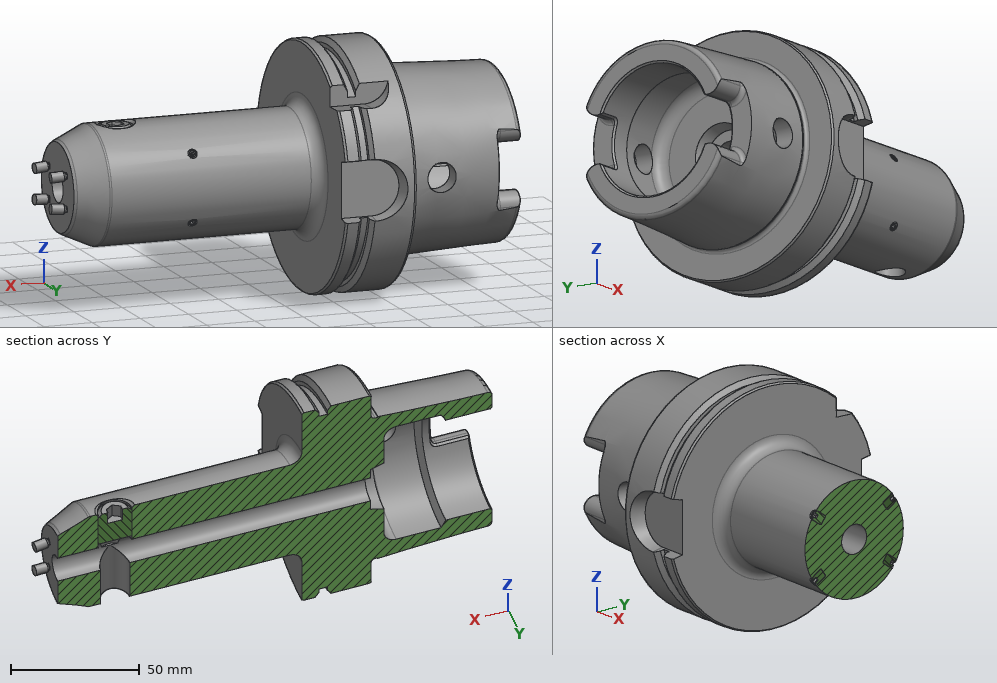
import cadquery as cq
import math


EDGE_TOLERANCE = 0.002

TAPER_LENGTH = 50.0
TAPER_TIP_RADIUS = 35.6
TAPER_TIP_ROUNDING = 1.9
TAPER_BASE_RADIUS = 37.9
RELIEF_LENGTH = 2.6
RELIEF_RADIUS = 37.5
RELIEF_FILLET = 1.5
BORE_RADIUS = 26.5
BORE_EDGE_CHAMFER = 0.7
BORE_DEPTH = 44.8
UNDERCUT_START_DEPTH = 19.2
UNDERCUT_RADIUS = 29.9
UNDERCUT_ANGLE = 60.0
UNDERCUT_FLOOR_FILLET = 5.0
SEAT_MOUTH_RADIUS = 12.1
SEAT_FLOOR_RADIUS = 10.5
SEAT_DEPTH = 5.6
AXIAL_HOLE_RADIUS = 6.0
CROSS_HOLE_RADIUS = 6.0
CROSS_HOLE_X = -15.3

SLOT_HALF_WIDTH = 9.9
SLOT_LIP_RADIUS = 5.5
SLOT_LIP_Y = 32.1
SLOT_END_FILLET = 1.9
FRONT_SLOT_DEPTH = 15.5
REAR_SLOT_DEPTH = 10.5

FLANGE_RADIUS = 50.0
FLANGE_WIDTH = 29.0
FLANGE_EDGE_LENGTH = 1.0
FLANGE_EDGE_DROP = 0.5
GROOVE_BOTTOM_RADIUS = 46.0
GROOVE_WALL_RADIUS = 47.8
GROOVE_START = 16.8
GROOVE_BOTTOM_START = 18.3
GROOVE_BOTTOM_END = 21.6
GROOVE_END = 23.3

POCKET_FLOOR_Y = 43.7
POCKET_RADIUS = 11.2
POCKET_CENTER_X = 16.2
POCKET_WALL_TAPER = 12.0

NOTCH_FLOOR_Y = 31.3
NOTCH_RADIUS = 9.9
NOTCH_CENTER_X = 14.7
NOTCH_WALL_Z = 30.6

SHANK_RADIUS = 24.0
SHANK_ROOT_FILLET = 5.0
SHANK_END_X = 130.0
NOSE_START_X = 117.0
NOSE_EDGE_FILLET = 1.9
NOSE_SHOULDER_X = 129.0
NOSE_SHOULDER_RADIUS = 18.7
NOSE_FACE_RADIUS = 18.0

CLAMP_X = 106.2
CLAMP_RADIUS = 6.9
CLAMP_TIP_Z = AXIAL_HOLE_RADIUS + 1.9
CLAMP_TOP_Z = 23.5
CLAMP_SOCKET_FLATS = 6.0
CLAMP_SOCKET_DEPTH = 5.6
CLAMP_SINK_RADIUS = 8.0
CLAMP_CHAMFER = 1.5
OPPOSITE_HOLE_RADIUS = 6.0

RADIAL_ANGLE = 35.0
PLUG_X = 81.5
PLUG_RADIUS = 1.9
PLUG_LENGTH = 5.6
PLUG_RECESS = 0.2
PLUG_CHAMFER = 0.5
PLUG_SOCKET_FLATS = 1.5
PLUG_SOCKET_DEPTH = 1.9
NOZZLE_CIRCLE_RADIUS = 11.5
NOZZLE_TILT = 7.0
NOZZLE_SHANK_RADIUS = 1.3
NOZZLE_SHANK_DEPTH = 3.7
NOZZLE_NECK_LENGTH = 0.4
NOZZLE_HEAD_RADIUS = 2.0
NOZZLE_CONE_LENGTH = 1.3
NOZZLE_LENGTH = 6.3


def revolve_about_x(profile):
    return profile.close().revolve(360, (0, 0, 0), (1, 0, 0))


def holder_blank():
    nose_angle = math.atan2(SHANK_RADIUS - NOSE_SHOULDER_RADIUS, NOSE_SHOULDER_X - NOSE_START_X)
    round_start_x = NOSE_START_X - NOSE_EDGE_FILLET * math.tan(nose_angle / 2)
    round_end_x = round_start_x + NOSE_EDGE_FILLET * math.sin(nose_angle)
    round_end_radius = SHANK_RADIUS - NOSE_EDGE_FILLET * (1 - math.cos(nose_angle))
    profile = (
        cq.Workplane("XY")
        .moveTo(-TAPER_LENGTH, 0)
        .lineTo(-TAPER_LENGTH, TAPER_TIP_RADIUS - TAPER_TIP_ROUNDING)
        .radiusArc((-TAPER_LENGTH + TAPER_TIP_ROUNDING, TAPER_TIP_RADIUS), TAPER_TIP_ROUNDING)
        .lineTo(-RELIEF_LENGTH, TAPER_BASE_RADIUS)
        .lineTo(-RELIEF_LENGTH, RELIEF_RADIUS)
        .lineTo(-RELIEF_FILLET, RELIEF_RADIUS)
        .radiusArc((0, RELIEF_RADIUS + RELIEF_FILLET), -RELIEF_FILLET)
        .lineTo(0, FLANGE_RADIUS - FLANGE_EDGE_DROP)
        .lineTo(FLANGE_EDGE_LENGTH, FLANGE_RADIUS)
        .lineTo(GROOVE_START, FLANGE_RADIUS)
        .lineTo(GROOVE_BOTTOM_START, GROOVE_WALL_RADIUS)
        .lineTo(GROOVE_BOTTOM_START, GROOVE_BOTTOM_RADIUS)
        .lineTo(GROOVE_BOTTOM_END, GROOVE_BOTTOM_RADIUS)
        .lineTo(GROOVE_BOTTOM_END, GROOVE_WALL_RADIUS)
        .lineTo(GROOVE_END, FLANGE_RADIUS)
        .lineTo(FLANGE_WIDTH - FLANGE_EDGE_LENGTH, FLANGE_RADIUS)
        .lineTo(FLANGE_WIDTH, FLANGE_RADIUS - FLANGE_EDGE_DROP)
        .lineTo(FLANGE_WIDTH, SHANK_RADIUS + SHANK_ROOT_FILLET)
        .radiusArc((FLANGE_WIDTH + SHANK_ROOT_FILLET, SHANK_RADIUS), -SHANK_ROOT_FILLET)
        .lineTo(round_start_x, SHANK_RADIUS)
        .radiusArc((round_end_x, round_end_radius), NOSE_EDGE_FILLET)
        .lineTo(NOSE_SHOULDER_X, NOSE_SHOULDER_RADIUS)
        .lineTo(SHANK_END_X, NOSE_FACE_RADIUS)
        .lineTo(SHANK_END_X, 0)
    )
    return revolve_about_x(profile)


def axial_bore():
    bore_floor_x = -TAPER_LENGTH + BORE_DEPTH
    seat_floor_x = bore_floor_x + SEAT_DEPTH
    undercut_start_x = -TAPER_LENGTH + UNDERCUT_START_DEPTH
    ramp_length = (UNDERCUT_RADIUS - BORE_RADIUS) / math.tan(math.radians(UNDERCUT_ANGLE))
    profile = (
        cq.Workplane("XY")
        .moveTo(-TAPER_LENGTH, 0)
        .lineTo(-TAPER_LENGTH, BORE_RADIUS)
        .lineTo(undercut_start_x, BORE_RADIUS)
        .lineTo(undercut_start_x + ramp_length, UNDERCUT_RADIUS)
        .lineTo(bore_floor_x - UNDERCUT_FLOOR_FILLET, UNDERCUT_RADIUS)
        .radiusArc((bore_floor_x, UNDERCUT_RADIUS - UNDERCUT_FLOOR_FILLET), UNDERCUT_FLOOR_FILLET)
        .lineTo(bore_floor_x, SEAT_MOUTH_RADIUS)
        .lineTo(seat_floor_x, SEAT_FLOOR_RADIUS)
        .lineTo(seat_floor_x, AXIAL_HOLE_RADIUS)
        .lineTo(SHANK_END_X, AXIAL_HOLE_RADIUS)
        .lineTo(SHANK_END_X, 0)
    )
    return revolve_about_x(profile)


def cross_hole():
    return (
        cq.Workplane("XZ", origin=(CROSS_HOLE_X, 0, 0))
        .circle(CROSS_HOLE_RADIUS)
        .extrude(FLANGE_RADIUS, both=True)
    )


def drive_slot(side, depth):
    """Slot through the taper wall on the side +1 (+Y) or -1 (-Y), with rounded lips."""
    lip_start_y = SLOT_LIP_Y - SLOT_LIP_RADIUS
    lip_end_z = SLOT_HALF_WIDTH + SLOT_LIP_RADIUS
    arc_radius = side * SLOT_LIP_RADIUS
    return (
        cq.Workplane("YZ", origin=(-TAPER_LENGTH, 0, 0))
        .moveTo(0, -SLOT_HALF_WIDTH)
        .lineTo(side * lip_start_y, -SLOT_HALF_WIDTH)
        .radiusArc((side * SLOT_LIP_Y, -lip_end_z), arc_radius)
        .lineTo(side * SLOT_LIP_Y, -TAPER_BASE_RADIUS)
        .lineTo(side * FLANGE_RADIUS, -TAPER_BASE_RADIUS)
        .lineTo(side * FLANGE_RADIUS, TAPER_BASE_RADIUS)
        .lineTo(side * SLOT_LIP_Y, TAPER_BASE_RADIUS)
        .lineTo(side * SLOT_LIP_Y, lip_end_z)
        .radiusArc((side * lip_start_y, SLOT_HALF_WIDTH), arc_radius)
        .lineTo(0, SLOT_HALF_WIDTH)
        .close()
        .extrude(depth)
        .faces(">X")
        .edges()
        .fillet(SLOT_END_FILLET)
    )


def on_bore_wall(edge):
    """True for an edge that lies on the bore cylinder in front of the undercut."""
    points = [edge.positionAt(step) for step in (0.0, 0.25, 0.5, 0.75, 1.0)]
    touches = [abs(math.hypot(point.y, point.z) - BORE_RADIUS) < EDGE_TOLERANCE for point in points]
    undercut_start_x = -TAPER_LENGTH + UNDERCUT_START_DEPTH
    return all(touches) and edge.Center().x < undercut_start_x - EDGE_TOLERANCE


def chamfer_bore_edges(body):
    edges = [edge for edge in body.val().Edges() if on_bore_wall(edge)]
    return body.newObject(edges).chamfer(BORE_EDGE_CHAMFER)


def key_pocket(side):
    """Round-ended pocket with flared walls, open toward +X."""
    plane = cq.Plane(origin=(0, side * POCKET_FLOOR_Y, 0), xDir=(1, 0, 0), normal=(0, side, 0))
    run_out = FLANGE_WIDTH + POCKET_RADIUS
    return (
        cq.Workplane(plane)
        .moveTo(run_out, -POCKET_RADIUS)
        .lineTo(POCKET_CENTER_X, -POCKET_RADIUS)
        .threePointArc((POCKET_CENTER_X - POCKET_RADIUS, 0), (POCKET_CENTER_X, POCKET_RADIUS))
        .lineTo(run_out, POCKET_RADIUS)
        .close()
        .extrude(FLANGE_RADIUS - POCKET_FLOOR_Y, taper=-POCKET_WALL_TAPER)
    )


def orientation_notch():
    """Round-ended notch milled along Y, open toward +X, +Y and +Z."""
    center_z = NOTCH_WALL_Z + NOTCH_RADIUS
    depth = FLANGE_RADIUS - NOTCH_FLOOR_Y
    origin = (NOTCH_CENTER_X, NOTCH_FLOOR_Y, center_z)
    plane = cq.Plane(origin=origin, xDir=(1, 0, 0), normal=(0, 1, 0))
    length = FLANGE_WIDTH - NOTCH_CENTER_X
    round_end = cq.Workplane(plane).circle(NOTCH_RADIUS).extrude(depth)
    straight = (
        cq.Workplane(plane)
        .center(length / 2, 0)
        .rect(length, 2 * NOTCH_RADIUS)
        .extrude(depth)
    )
    return round_end.union(straight)


def clamp_blank():
    """Clamping screw without its chamfer and socket."""
    return (
        cq.Workplane("XY", origin=(CLAMP_X, 0, CLAMP_TIP_Z))
        .circle(CLAMP_RADIUS)
        .extrude(CLAMP_TOP_Z - CLAMP_TIP_Z)
    )


def clamp_hole():
    center = cq.Workplane("XY", origin=(CLAMP_X, 0, 0))
    threaded = center.circle(CLAMP_RADIUS).extrude(SHANK_RADIUS)
    sink_depth = CLAMP_SINK_RADIUS - CLAMP_RADIUS
    sink_bottom = cq.Vector(CLAMP_X, 0, SHANK_RADIUS - sink_depth)
    sink = cq.Solid.makeCone(CLAMP_RADIUS, CLAMP_SINK_RADIUS, sink_depth, sink_bottom, cq.Vector(0, 0, 1))
    opposite = center.circle(OPPOSITE_HOLE_RADIUS).extrude(-SHANK_RADIUS)
    return threaded.union(opposite).union(cq.Workplane(sink))


def hex_diameter(flats):
    return flats / math.cos(math.pi / 6)


def clamp_screw():
    socket = (
        cq.Workplane("XY", origin=(CLAMP_X, 0, CLAMP_TOP_Z))
        .transformed(rotate=(0, 0, 90))
        .polygon(6, hex_diameter(CLAMP_SOCKET_FLATS))
        .extrude(-CLAMP_SOCKET_DEPTH)
    )
    return clamp_blank().faces(">Z").chamfer(CLAMP_CHAMFER).cut(socket)


def radial_angles():
    """Angles about X, measured from +Y toward +Z."""
    return [RADIAL_ANGLE, 180 - RADIAL_ANGLE, 180 + RADIAL_ANGLE, 360 - RADIAL_ANGLE]


def turn_about_x(body, angle):
    return body.rotate((0, 0, 0), (1, 0, 0), angle)


def plug_blank(outer_radius):
    """Plug cylinder along +Y, from its inner end out to outer_radius."""
    inner = SHANK_RADIUS - PLUG_LENGTH
    plane = cq.Plane(origin=(PLUG_X, inner, 0), xDir=(1, 0, 0), normal=(0, 1, 0))
    return cq.Workplane(plane).circle(PLUG_RADIUS).extrude(outer_radius - inner)


def plug_screw(angle):
    top = SHANK_RADIUS - PLUG_RECESS
    plane = cq.Plane(origin=(PLUG_X, top, 0), xDir=(1, 0, 0), normal=(0, 1, 0))
    socket = (
        cq.Workplane(plane)
        .polygon(6, hex_diameter(PLUG_SOCKET_FLATS))
        .extrude(-PLUG_SOCKET_DEPTH)
    )
    return turn_about_x(plug_blank(top).faces(">Y").chamfer(PLUG_CHAMFER).cut(socket), angle)


def nozzle(angle):
    """Stepped nozzle in the nose face, leaning toward the axis."""
    profile = (
        cq.Workplane("XY")
        .moveTo(-NOZZLE_SHANK_DEPTH, 0)
        .lineTo(-NOZZLE_SHANK_DEPTH, NOZZLE_SHANK_RADIUS)
        .lineTo(NOZZLE_NECK_LENGTH, NOZZLE_SHANK_RADIUS)
        .lineTo(NOZZLE_CONE_LENGTH, NOZZLE_HEAD_RADIUS)
        .lineTo(NOZZLE_LENGTH, NOZZLE_HEAD_RADIUS)
        .lineTo(NOZZLE_LENGTH, 0)
    )
    body = revolve_about_x(profile).rotate((0, 0, 0), (0, 0, 1), -NOZZLE_TILT)
    return turn_about_x(body.translate((SHANK_END_X, NOZZLE_CIRCLE_RADIUS, 0)), angle)


def make_housing(nozzles):
    body = holder_blank().cut(axial_bore()).cut(cross_hole())
    body = body.cut(drive_slot(-1, FRONT_SLOT_DEPTH)).cut(drive_slot(1, REAR_SLOT_DEPTH))
    body = chamfer_bore_edges(body)
    for side in (-1, 1):
        body = body.cut(key_pocket(side))
    body = body.cut(orientation_notch()).cut(clamp_hole())
    for angle in radial_angles():
        body = body.cut(turn_about_x(plug_blank(SHANK_RADIUS), angle))
    for tip in nozzles:
        body = body.cut(tip)
    return body


nozzles = [nozzle(angle) for angle in radial_angles()]
plugs = [plug_screw(angle) for angle in radial_angles()]
housing = make_housing(nozzles)
clamp = clamp_screw()

result = cq.Compound.makeCompound(
    [housing.val(), clamp.val(), *[body.val() for body in plugs], *[body.val() for body in nozzles]]
)